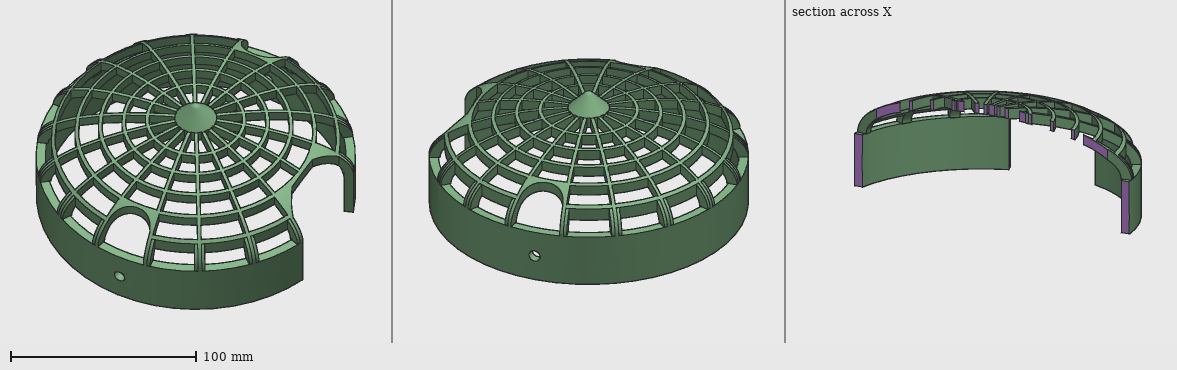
import cadquery as cq
import math

SKIRT_RADIUS = 86.28
SKIRT_WALL = 5.08
SKIRT_HEIGHT = 29.85
PIN_HOLE_DIAMETER = 6.35
PIN_HOLE_HEIGHT = SKIRT_HEIGHT / 2

CROWN_HEIGHT = 59.8
SHELL_THICKNESS = 6.0

SPOKE_COUNT = 18
SPOKE_PITCH = 360 / SPOKE_COUNT
BAR_WIDTH = 2.032
FOOT_WIDTH = 5.6
FOOT_RECESS = 0.1
RING_PITCH = 12.7
RING_COUNT = 5
FIRST_RING_RADIUS = 26.2
WINDOW_RING = 4

WINDOW_START = 65.5
SIDE_WINDOW_CORNER = 12.0
SIDE_WINDOW_ANGLES = (90, 270)
GAP_FLAT_HALF_WIDTH = 11.4
GAP_ARC_END = 73.9
GAP_ARC_RADIUS = 50.8
GAP_HALF_ANGLE = SPOKE_PITCH

HUB_RADIUS = 11.2
CONE_TIP_HEIGHT = 69.48
CONE_TIP_ROUNDING = 3.5

REACH = 2 * SKIRT_RADIUS


def ring_radius(number):
    """Middle radius of a ring, counted outwards from 1."""
    return FIRST_RING_RADIUS + (number - 1) * RING_PITCH


def dome_axes(inset):
    """Horizontal and vertical half-axis of the dome ellipse moved inwards by inset."""
    return SKIRT_RADIUS - inset, CROWN_HEIGHT - SKIRT_HEIGHT - inset


def dome_body(inset):
    """Solid half-ellipsoid standing on the skirt's top."""
    half_width, height = dome_axes(inset)
    return (
        cq.Workplane("XZ")
        .moveTo(half_width, SKIRT_HEIGHT)
        .ellipseArc(half_width, height, 0, 90)
        .lineTo(0, SKIRT_HEIGHT)
        .close()
        .revolve(360, (0, 0), (0, 1))
    )


def cone_foot_radius(apex_height):
    """Radius at which a 45 degree cone with its apex above the skirt's top meets the dome ellipse."""
    half_width, height = dome_axes(0)
    squares = half_width**2 + height**2
    root = math.sqrt(squares - apex_height**2)
    return (half_width**2 * apex_height - half_width * height * root) / squares


def closed_body():
    """Skirt, uncut dome shell, hub and nose cone, turned from one outline."""
    flank_angle = math.pi / 4
    sine = math.sin(flank_angle)
    ball_centre = CONE_TIP_HEIGHT - CONE_TIP_ROUNDING
    tangent_radius = CONE_TIP_ROUNDING * sine
    tangent_height = ball_centre + CONE_TIP_ROUNDING * sine
    foot_radius = cone_foot_radius(tangent_height + tangent_radius - SKIRT_HEIGHT)
    ball_middle = (
        CONE_TIP_ROUNDING * math.sin(flank_angle / 2),
        ball_centre + CONE_TIP_ROUNDING * math.cos(flank_angle / 2),
    )
    half_width, height = dome_axes(0)
    inner_half_width, inner_height = dome_axes(SHELL_THICKNESS)
    cone_angle = math.degrees(math.acos(foot_radius / half_width))
    skirt_inner = SKIRT_RADIUS - SKIRT_WALL
    outline = (
        cq.Workplane("XZ")
        .moveTo(skirt_inner, 0)
        .lineTo(SKIRT_RADIUS, 0)
        .lineTo(SKIRT_RADIUS, SKIRT_HEIGHT)
        .ellipseArc(half_width, height, 0, cone_angle)
        .lineTo(tangent_radius, tangent_height)
        .threePointArc(ball_middle, (0, CONE_TIP_HEIGHT))
        .lineTo(0, SKIRT_HEIGHT + inner_height)
        .ellipseArc(inner_half_width, inner_height, 0, 90, sense=-1)
        .lineTo(skirt_inner, SKIRT_HEIGHT)
        .close()
    )
    return outline.revolve(360, (0, 0), (0, 1))


def cell_cutter(angle, inner_radius, outer_radius, bar_width):
    """Prism filling one grille cell, centred on angle between two bars of the given width."""
    middle = math.radians(angle)
    half_pitch = math.radians(SPOKE_PITCH / 2)

    def corner(radius, side):
        bar_angle = math.asin(bar_width / 2 / radius)
        direction = middle + side * (half_pitch - bar_angle)
        return (radius * math.cos(direction), radius * math.sin(direction))

    def mid_point(radius):
        return (radius * math.cos(middle), radius * math.sin(middle))

    return (
        cq.Workplane("XY")
        .workplane(offset=SKIRT_HEIGHT)
        .moveTo(*corner(inner_radius, -1))
        .lineTo(*corner(outer_radius, -1))
        .threePointArc(mid_point(outer_radius), corner(outer_radius, 1))
        .lineTo(*corner(inner_radius, 1))
        .threePointArc(mid_point(inner_radius), corner(inner_radius, -1))
        .close()
        .extrude(CONE_TIP_HEIGHT)
        .val()
    )


def cell_is_in_window(angle):
    return angle in SIDE_WINDOW_ANGLES or angle < GAP_HALF_ANGLE or angle > 360 - GAP_HALF_ANGLE


def grille_cutters():
    """All grille cells; those that belong to a window are left solid outside the window ring."""
    cutters = []
    half_bar = BAR_WIDTH / 2
    for index in range(SPOKE_COUNT):
        angle = (index + 0.5) * SPOKE_PITCH
        inner_radius = HUB_RADIUS
        for number in range(1, RING_COUNT + 1):
            if number <= WINDOW_RING or not cell_is_in_window(angle):
                outer_radius = ring_radius(number) - half_bar
                cutters.append(cell_cutter(angle, inner_radius, outer_radius, BAR_WIDTH))
            inner_radius = ring_radius(number) + half_bar
        if not cell_is_in_window(angle):
            cutters.append(cell_cutter(angle, inner_radius, REACH, FOOT_WIDTH))
    return cq.Workplane(cq.Compound.makeCompound(cutters))


def foot_recess_cutters():
    """Outermost cells widened to the spoke faces, keeping all that lies below the recessed feet."""
    inner_radius = ring_radius(RING_COUNT) + BAR_WIDTH / 2
    cutters = []
    for index in range(SPOKE_COUNT):
        angle = (index + 0.5) * SPOKE_PITCH
        if not cell_is_in_window(angle):
            cutters.append(cell_cutter(angle, inner_radius, REACH, BAR_WIDTH))
    return cq.Workplane(cq.Compound.makeCompound(cutters)).cut(dome_body(FOOT_RECESS))


def spoke_face(x, half_angle):
    """Y of the face, towards the X axis, of a spoke standing at half_angle."""
    half = math.radians(half_angle)
    return x * math.tan(half) - BAR_WIDTH / 2 / math.cos(half)


def side_window_cutter(angle):
    """Opening between two neighbouring spokes, with its two inner corners rounded."""
    start_y = spoke_face(WINDOW_START, SPOKE_PITCH / 2)
    end_y = spoke_face(REACH, SPOKE_PITCH / 2)
    outline = [(WINDOW_START, -start_y), (REACH, -end_y), (REACH, end_y), (WINDOW_START, start_y)]
    return (
        cq.Workplane("XY")
        .workplane(offset=SKIRT_HEIGHT)
        .polyline(outline)
        .close()
        .extrude(CONE_TIP_HEIGHT)
        .edges("|Z and <X")
        .fillet(SIDE_WINDOW_CORNER)
        .rotate((0, 0, 0), (0, 0, 1), angle)
    )


def gap_cutter():
    """Opening towards +X two cells wide; it removes the skirt as well as the dome."""
    arc_end_y = spoke_face(GAP_ARC_END, GAP_HALF_ANGLE)
    end_y = spoke_face(REACH, GAP_HALF_ANGLE)
    chord = math.hypot(GAP_ARC_END - WINDOW_START, arc_end_y - GAP_FLAT_HALF_WIDTH)
    sagitta = GAP_ARC_RADIUS - math.sqrt(GAP_ARC_RADIUS**2 - (chord / 2) ** 2)
    return (
        cq.Workplane("XY")
        .moveTo(WINDOW_START, -GAP_FLAT_HALF_WIDTH)
        .lineTo(WINDOW_START, GAP_FLAT_HALF_WIDTH)
        .sagittaArc((GAP_ARC_END, arc_end_y), sagitta)
        .lineTo(REACH, end_y)
        .lineTo(REACH, -end_y)
        .lineTo(GAP_ARC_END, -arc_end_y)
        .sagittaArc((WINDOW_START, -GAP_FLAT_HALF_WIDTH), sagitta)
        .close()
        .extrude(CONE_TIP_HEIGHT)
    )


def pin_holes():
    """Cutter for the two holes facing each other along Y."""
    return (
        cq.Workplane("XZ")
        .center(0, PIN_HOLE_HEIGHT)
        .circle(PIN_HOLE_DIAMETER / 2)
        .extrude(REACH, both=True)
    )


result = closed_body().cut(grille_cutters()).cut(foot_recess_cutters()).cut(pin_holes())
for side_angle in SIDE_WINDOW_ANGLES:
    result = result.cut(side_window_cutter(side_angle))
result = result.cut(gap_cutter())